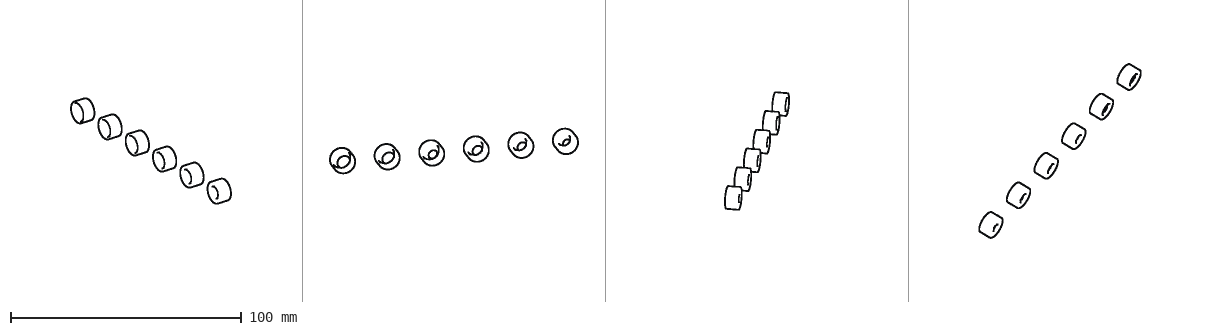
import cadquery as cq

OUTER_DIAMETER = 10.0
LENGTH = 5.5
FLOOR_THICKNESS = 1.5
BORE_DEPTH = LENGTH - FLOOR_THICKNESS
EDGE_RADIUS = 0.1
PITCH = 20.0

BORE_AND_HOLE_DIAMETERS = [
    (8.4, 5.9),
    (7.8, 5.6),
    (7.8, 4.1),
    (7.2, 4.6),
    (6.4, 4.3),
    (5.6, 3.4),
]


def bushing(center_x, bore_diameter, hole_diameter):
    """One bushing with its front face on the plane Y = 0 and every round edge filleted."""
    front_plane = cq.Plane(origin=(center_x, 0, 0), xDir=(0, 0, 1), normal=(0, 1, 0))
    front = cq.Workplane(front_plane)
    body = front.circle(OUTER_DIAMETER / 2).extrude(LENGTH)
    bore = front.circle(bore_diameter / 2).extrude(BORE_DEPTH)
    hole = front.circle(hole_diameter / 2).extrude(LENGTH)
    return body.cut(bore).cut(hole).edges("%CIRCLE").fillet(EDGE_RADIUS)


bushings = [
    bushing(index * PITCH, bore_diameter, hole_diameter)
    for index, (bore_diameter, hole_diameter) in enumerate(BORE_AND_HOLE_DIAMETERS)
]

result = cq.Compound.makeCompound([body.solids().val() for body in bushings])